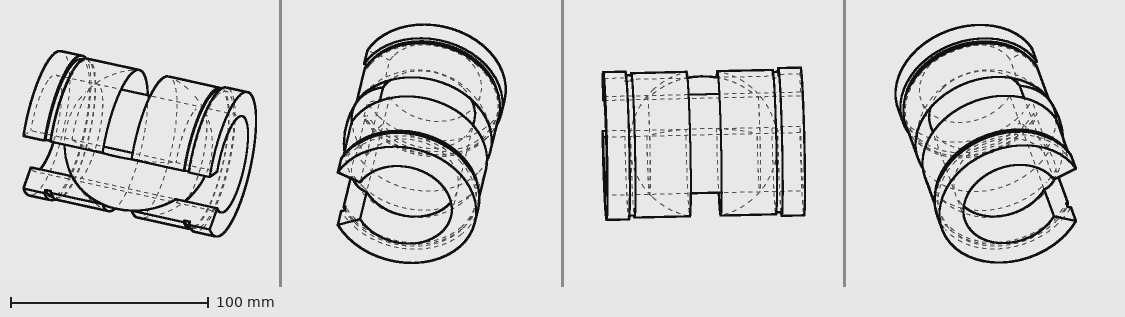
import cadquery as cq
import math

length = 100.0
outer_radius = 37.5
bore_radius = 25.0

flange_width = 11.3
relief_width = 2.9
relief_radius = 35.6

ball_radius = outer_radius
joint_overlap = 0.05
cavity_radius = ball_radius - joint_overlap

window_width = 15.6
body_radius = math.sqrt(cavity_radius**2 - (window_width / 2)**2)

slot_half_angle = 24.0
slot_inner_half_height = 11.9
slot_inner_y = -math.sqrt(bore_radius**2 - slot_inner_half_height**2)


def ring(x_start, width, inner_radius):
    """Ring around the X axis that trims the sleeve down to inner_radius."""
    return (
        cq.Workplane("YZ", origin=(x_start, 0, 0))
        .circle(2 * outer_radius)
        .circle(inner_radius)
        .extrude(width)
    )


def slot_wedge():
    """Flared prism between the slot walls, from the bore out past the sleeve."""
    slot_outer_y = -2 * outer_radius
    flare = (slot_inner_y - slot_outer_y) * math.tan(math.radians(slot_half_angle))
    slot_outer_half_height = slot_inner_half_height + flare
    return (
        cq.Workplane("YZ", origin=(-length / 2, 0, 0))
        .polyline([
            (0, -slot_inner_half_height),
            (slot_inner_y, -slot_inner_half_height),
            (slot_outer_y, -slot_outer_half_height),
            (slot_outer_y, slot_outer_half_height),
            (slot_inner_y, slot_inner_half_height),
            (0, slot_inner_half_height),
        ])
        .close()
        .extrude(length)
    )


def slotted_sleeve():
    """Stepped tube with the slot cut through its wall."""
    sleeve = (
        cq.Workplane("YZ", origin=(-length / 2, 0, 0))
        .circle(outer_radius)
        .circle(bore_radius)
        .extrude(length)
    )
    relief_start = length / 2 - flange_width
    body_start = relief_start - relief_width
    sleeve = sleeve.cut(ring(-body_start, 2 * body_start, body_radius))
    for x_start in (-relief_start, body_start):
        sleeve = sleeve.cut(ring(x_start, relief_width, relief_radius))
    return sleeve.cut(slot_wedge())


def ball_core():
    """Ball trimmed to the bore, but left whole where it fills the slot."""
    ball = cq.Workplane("XY").sphere(ball_radius)
    bore = cq.Workplane("YZ", origin=(-length / 2, 0, 0)).circle(bore_radius).extrude(length)
    return ball.intersect(bore.union(slot_wedge()))


cavity = cq.Workplane("XY").sphere(cavity_radius)
result = slotted_sleeve().cut(cavity).union(ball_core())